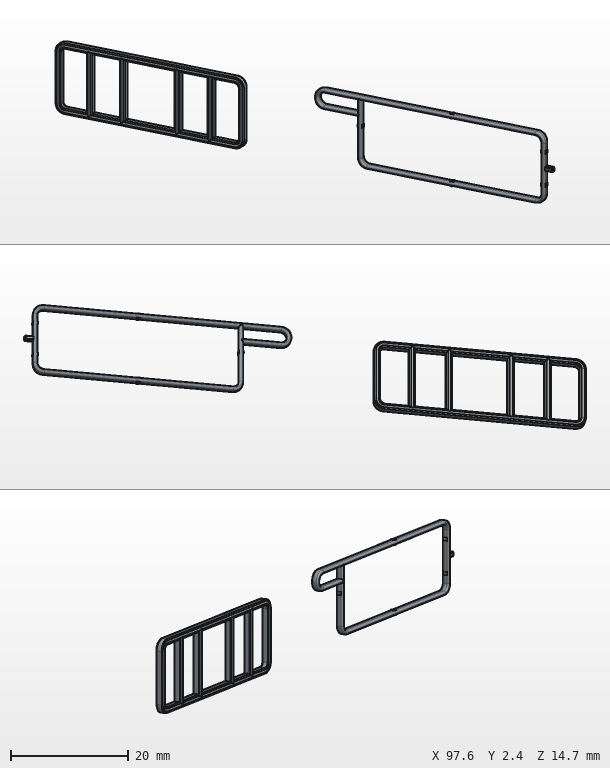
import cadquery as cq
import math

OVERALL_HEIGHT = 14.7

BARRED_LENGTH = 36.9
BARRED_HEIGHT = 13.1
BARRED_CORNER_RADIUS = 1.9
BARRED_WIDTH = 1.1
BARRED_DEPTH = 1.7
BARRED_FLAT_DEPTH = 1.0
BEAD_RADIUS = 0.24
BARRED_LEFT_X = -48.8
BARRED_BACK_Y = 1.2
BAR_OFFSETS = (-11.8, -5.4, 5.4, 11.8)

RAIL_WIDTH = 0.8
RAIL_DEPTH = 1.4
HANDLED_LENGTH = 36.6
HANDLED_HEIGHT = 13.2
HANDLED_CORNER_RADIUS = 1.9
HANDLED_MIDDLE_X = 29.0
HANDLED_FRONT_Y = -1.2
HANDLE_REACH = 8.4
HANDLE_HEIGHT = 3.8

TAB_END_X = 48.8
TAB_SIZE = 0.9
TAB_CHAMFER = 0.2
NUB_DIAMETER = 1.0
NUB_DEPTH = 0.8
RIGHT_NUB_OFFSET = 3.0
LEFT_NUB_OFFSET = 1.0

BARRED_CENTRE = (
    BARRED_LEFT_X + BARRED_LENGTH / 2,
    BARRED_BACK_Y - BARRED_DEPTH / 2,
    (BARRED_HEIGHT - OVERALL_HEIGHT) / 2,
)
RAIL_Y = HANDLED_FRONT_Y + RAIL_DEPTH / 2
RIGHT_RAIL_X = HANDLED_MIDDLE_X + (HANDLED_LENGTH - RAIL_WIDTH) / 2
LEFT_RAIL_X = HANDLED_MIDDLE_X - (HANDLED_LENGTH - RAIL_WIDTH) / 2
TOP_RAIL_Z = (OVERALL_HEIGHT - NUB_DIAMETER) / 2
BOTTOM_RAIL_Z = TOP_RAIL_Z - (HANDLED_HEIGHT - RAIL_WIDTH)
HANDLED_MIDDLE_Z = (TOP_RAIL_Z + BOTTOM_RAIL_Z) / 2
DIAGONAL = math.sin(math.radians(45))


def section_plane(x, y, z, direction):
    """Plane across a rail: local x runs along +Y, local y runs across the rail."""
    return cq.Plane(origin=(x, y, z), xDir=(0, 1, 0), normal=direction)


def barred_section(plane):
    """Flat sides, then shallow shoulders up to a narrower half-round bead at the front and the back."""
    half_width = BARRED_WIDTH / 2
    half_flat = BARRED_FLAT_DEPTH / 2
    half_depth = BARRED_DEPTH / 2
    bead_start = half_depth - BEAD_RADIUS
    return (
        cq.Workplane(plane)
        .moveTo(-half_flat, half_width)
        .lineTo(half_flat, half_width)
        .lineTo(bead_start, BEAD_RADIUS)
        .threePointArc((half_depth, 0), (bead_start, -BEAD_RADIUS))
        .lineTo(half_flat, -half_width)
        .lineTo(-half_flat, -half_width)
        .lineTo(-bead_start, -BEAD_RADIUS)
        .threePointArc((-half_depth, 0), (-bead_start, BEAD_RADIUS))
        .close()
    )


def rail_section(plane):
    """Flat sides, each running into quarter rounds that meet along the front and back ridges."""
    radius = RAIL_WIDTH / 2
    half_flat = RAIL_DEPTH / 2 - radius
    half_depth = RAIL_DEPTH / 2
    bulge = half_flat + radius * DIAGONAL
    rise = radius * DIAGONAL
    return (
        cq.Workplane(plane)
        .moveTo(-half_flat, radius)
        .lineTo(half_flat, radius)
        .threePointArc((bulge, rise), (half_depth, 0))
        .threePointArc((bulge, -rise), (half_flat, -radius))
        .lineTo(-half_flat, -radius)
        .threePointArc((-bulge, -rise), (-half_depth, 0))
        .threePointArc((-bulge, rise), (-half_flat, radius))
        .close()
    )


def barred_ring():
    """Rounded rectangle around the origin, the section swept along its centre line."""
    half_length = (BARRED_LENGTH - BARRED_WIDTH) / 2
    half_height = (BARRED_HEIGHT - BARRED_WIDTH) / 2
    radius = BARRED_CORNER_RADIUS - BARRED_WIDTH / 2
    path = (
        cq.Workplane("XZ")
        .moveTo(0, half_height)
        .lineTo(half_length - radius, half_height)
        .tangentArcPoint((radius, -radius))
        .lineTo(half_length, radius - half_height)
        .tangentArcPoint((-radius, -radius))
        .lineTo(radius - half_length, -half_height)
        .tangentArcPoint((-radius, radius))
        .lineTo(-half_length, half_height - radius)
        .tangentArcPoint((radius, radius))
        .close()
    )
    return barred_section(section_plane(0, 0, half_height, (1, 0, 0))).sweep(path)


def barred_frame():
    """The ring and its bars, which run between the centre lines of the top and bottom rails."""
    frame = barred_ring()
    bar_length = BARRED_HEIGHT - BARRED_WIDTH
    for offset in BAR_OFFSETS:
        foot = section_plane(offset, 0, -bar_length / 2, (0, 0, 1))
        frame = frame.union(barred_section(foot).extrude(bar_length))
    return frame.translate(BARRED_CENTRE)


def handle_and_rails():
    """One run of rail: lower handle arm, loop, top rail, right rail and bottom rail."""
    corner = HANDLED_CORNER_RADIUS - RAIL_WIDTH / 2
    loop_height = HANDLE_HEIGHT - RAIL_WIDTH
    arm_z = TOP_RAIL_Z - loop_height
    loop_x = LEFT_RAIL_X - RAIL_WIDTH / 2 - HANDLE_REACH + HANDLE_HEIGHT / 2
    path = (
        cq.Workplane("XZ", origin=(0, RAIL_Y, 0))
        .moveTo(LEFT_RAIL_X, arm_z)
        .lineTo(loop_x, arm_z)
        .tangentArcPoint((0, loop_height))
        .lineTo(RIGHT_RAIL_X - corner, TOP_RAIL_Z)
        .tangentArcPoint((corner, -corner))
        .lineTo(RIGHT_RAIL_X, BOTTOM_RAIL_Z + corner)
        .tangentArcPoint((-corner, -corner))
        .lineTo(LEFT_RAIL_X + corner, BOTTOM_RAIL_Z)
        .tangentArcPoint((-corner, corner))
    )
    return rail_section(section_plane(LEFT_RAIL_X, RAIL_Y, arm_z, (-1, 0, 0))).sweep(path, clean=False)


def left_rail():
    """Upright that closes the frame, from the lower left corner up into the top rail."""
    foot_z = BOTTOM_RAIL_Z + HANDLED_CORNER_RADIUS - RAIL_WIDTH / 2
    foot = section_plane(LEFT_RAIL_X, RAIL_Y, foot_z, (0, 0, 1))
    return rail_section(foot).extrude(TOP_RAIL_Z - foot_z, clean=False)


def tab():
    """Square peg, its long edges and its end chamfered, standing out of the middle of the right rail."""
    root = cq.Workplane("YZ", origin=(RIGHT_RAIL_X, RAIL_Y, HANDLED_MIDDLE_Z))
    peg = root.rect(TAB_SIZE, TAB_SIZE).extrude(TAB_END_X - RIGHT_RAIL_X)
    return peg.edges("|X").chamfer(TAB_CHAMFER).faces(">X").chamfer(TAB_CHAMFER)


def nub(x, z):
    """Short cylinder along Y on a rail's centre line, bulging out on both sides of the rail."""
    centre = cq.Workplane("XZ", origin=(x, RAIL_Y, z))
    return centre.circle(NUB_DIAMETER / 2).extrude(NUB_DEPTH / 2, both=True)


def handled_frame():
    """The rails, tab and nubs in one solid; faces stay unmerged so that the ridges remain edges."""
    nubs = [
        nub(HANDLED_MIDDLE_X, TOP_RAIL_Z),
        nub(HANDLED_MIDDLE_X, BOTTOM_RAIL_Z),
        nub(RIGHT_RAIL_X, HANDLED_MIDDLE_Z - RIGHT_NUB_OFFSET),
        nub(RIGHT_RAIL_X, HANDLED_MIDDLE_Z + RIGHT_NUB_OFFSET),
        nub(LEFT_RAIL_X, HANDLED_MIDDLE_Z + LEFT_NUB_OFFSET),
    ]
    frame = handle_and_rails()
    for piece in [left_rail(), tab(), *nubs]:
        frame = frame.union(piece, clean=False)
    return frame


result = cq.Compound.makeCompound([barred_frame().val(), handled_frame().val()])